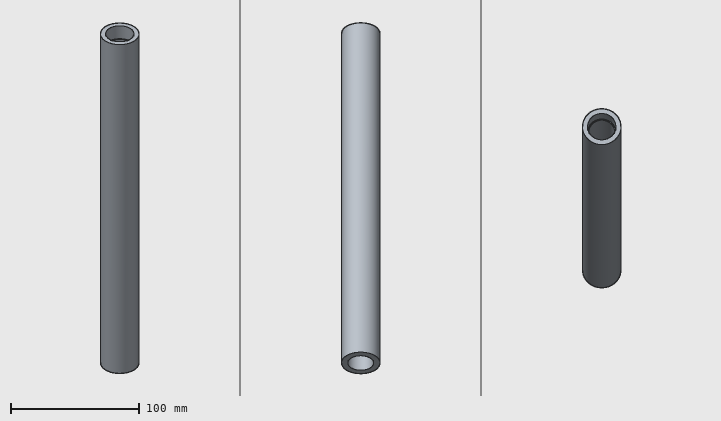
import cadquery as cq

length = 310.0
outer_diameter = 30.0
bore_diameter = 20.0

recess_diameter = 22.0
recess_depth = 12.0

tube = (
    cq.Workplane("XY")
    .circle(outer_diameter / 2)
    .circle(bore_diameter / 2)
    .extrude(length)
)

recess = (
    cq.Workplane("XY")
    .workplane(offset=length - recess_depth)
    .circle(recess_diameter / 2)
    .extrude(recess_depth)
)

result = tube.cut(recess)